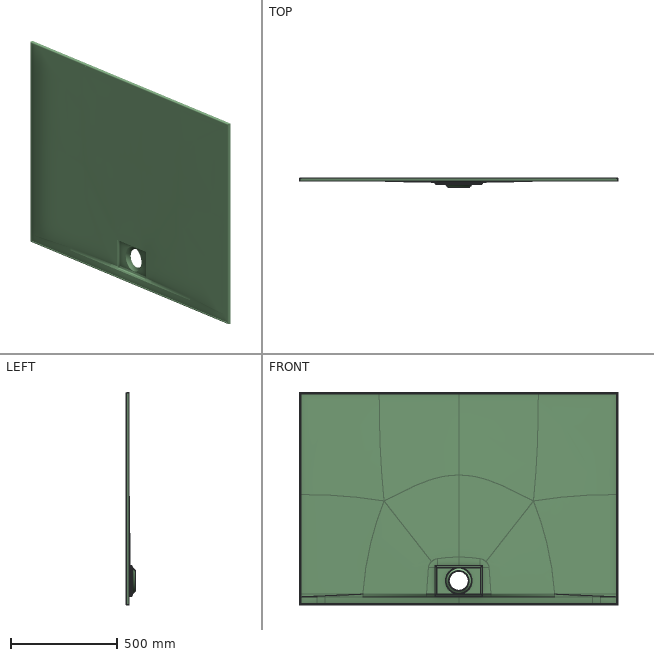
import cadquery as cq


WIDTH = 1500.0
HEIGHT = 1000.0
RIM_DEPTH = 15.0
RIM_WIDTH = 7.0
RIM_EDGE_RADIUS = 6.0
WALL = 4.0
CUT_MARGIN = 1.0

LEFT = -WIDTH / 2 + RIM_WIDTH
BOTTOM = RIM_WIDTH
TOP = HEIGHT - RIM_WIDTH

EDGE_DEPTH = 8.0
FACET_FOOT = 51.0
TOP_FOLD = (-375.0, EDGE_DEPTH, TOP)
TOP_FOLD_BOW = (-371.0, 11.0, 760.0)
SIDE_FOLD = (LEFT, EDGE_DEPTH, 520.0)
SIDE_FOLD_BOW = (-540.0, 11.0, 513.0)
FOOT_FOLD = (-452.0, 12.5, FACET_FOOT)
FOOT_FOLD_BOW = (-420.0, 13.3, 270.0)
KNOT = (-352.0, 14.6, 490.0)
CROWN_BOW = (-140.0, 14.6, 588.0)
CROWN = (0.0, 14.6, 612.0)
KNOT_TANGENT = cq.Vector(2, 0, 1)
CROWN_TANGENT = cq.Vector(1, 0, 0)

STRIP_TOP = 38.5
STRIP_TOP_DEPTH = 11.0
STRIP_BLEND_DEPTH = 10.5
STRIP_BLEND_START = -667.0
STRIP_BLEND_END = -630.0

PAD_HALF_WIDTH = 111.0
PAD_BOTTOM = 41.0
PAD_TOP = 186.0
PAD_BASE_DEPTH = 20.5
PAD_SHOULDER_DEPTH = 26.5
PAD_DEPTH = 31.5
PAD_SIDE_BEVEL = 5.0
PAD_BOTTOM_BEVEL = 7.0
PAD_TOP_BEVEL = 8.0

APRON_DEPTH = 19.8
APRON_FOOT = (-152.0, APRON_DEPTH, FACET_FOOT)
APRON_SIDE = (-143.0, APRON_DEPTH, 177.0)
APRON_LOW_BOW = (-138.0, APRON_DEPTH, 192.0)
APRON_CORNER = (-128.0, APRON_DEPTH, 204.0)
APRON_HIGH_BOW = (-116.0, APRON_DEPTH, 213.0)
APRON_SHOULDER = (-101.0, APRON_DEPTH, 218.0)
APRON_TOP_BOW = (-50.0, APRON_DEPTH, 224.0)
APRON_CROWN = (0.0, APRON_DEPTH, 226.0)

OUTLET_Z = 114.0
OUTLET_DEPTH = 46.0
OUTLET_BASE_RADIUS = 62.5
OUTLET_END_RADIUS = 48.0
DRAIN_BASE_RADIUS = 59.5
DRAIN_END_RADIUS = 45.0


def skin_tools(lift):
    """Edge makers for a skin raised by `lift` towards the rim plane."""

    def at(point):
        x, depth, z = point
        return cq.Vector(x, lift - depth, z)

    def line(start, end):
        return cq.Edge.makeLine(at(start), at(end))

    def bow(*points, tangents=None):
        return cq.Edge.makeSpline([at(p) for p in points], tangents=tangents)

    return line, bow


def fill(*edges):
    """Smooth patch bounded by a loop of edges."""
    return cq.Face.makeNSidedSurface(list(edges), [])


def half_panel(lift, base_depth):
    """Faces of the left half of a panel: the faceted skin, its side walls and its base plane."""
    line, bow = skin_tools(lift)

    def loop(*points):
        return [line(points[i - 1], points[i]) for i in range(len(points))]

    def flat(*points):
        return cq.Face.makeFromWires(cq.Wire.assembleEdges(loop(*points)))

    corner_top = (LEFT, EDGE_DEPTH, TOP)
    corner_foot = (LEFT, EDGE_DEPTH, FACET_FOOT)
    top_middle = (0, EDGE_DEPTH, TOP)
    pad_foot = (-PAD_HALF_WIDTH, PAD_BASE_DEPTH, FACET_FOOT)
    pad_side = (-PAD_HALF_WIDTH, PAD_BASE_DEPTH, APRON_SIDE[2])
    pad_corner = (-PAD_HALF_WIDTH, PAD_BASE_DEPTH, PAD_TOP)
    pad_shoulder = (APRON_SHOULDER[0], PAD_BASE_DEPTH, PAD_TOP)
    pad_crown = (0, PAD_BASE_DEPTH, PAD_TOP)
    foot_middle = (0, PAD_BASE_DEPTH, FACET_FOOT)

    side_curve = bow(SIDE_FOLD, SIDE_FOLD_BOW, KNOT)
    top_curve = bow(TOP_FOLD, TOP_FOLD_BOW, KNOT)
    foot_curve = bow(FOOT_FOLD, FOOT_FOLD_BOW, KNOT)
    crown_curve = bow(KNOT, CROWN_BOW, CROWN, tangents=[KNOT_TANGENT, CROWN_TANGENT])
    diagonal = line(KNOT, APRON_CORNER)
    apron_side = line(APRON_FOOT, APRON_SIDE)
    apron_low_round = bow(APRON_SIDE, APRON_LOW_BOW, APRON_CORNER)
    apron_high_round = bow(APRON_CORNER, APRON_HIGH_BOW, APRON_SHOULDER)
    apron_top = bow(APRON_SHOULDER, APRON_TOP_BOW, APRON_CROWN)
    apron_joint_low = line(APRON_SIDE, pad_side)
    apron_joint_high = line(APRON_SHOULDER, pad_shoulder)
    faces = [
        fill(line(corner_top, SIDE_FOLD), side_curve, top_curve, line(TOP_FOLD, corner_top)),
        fill(top_curve, crown_curve, line(CROWN, top_middle), line(top_middle, TOP_FOLD)),
        fill(side_curve, foot_curve, line(FOOT_FOLD, corner_foot), line(corner_foot, SIDE_FOLD)),
        fill(foot_curve, diagonal, apron_low_round, apron_side, line(APRON_FOOT, FOOT_FOLD)),
        fill(crown_curve, diagonal, apron_high_round, apron_top, line(APRON_CROWN, CROWN)),
    ]

    faces += [
        fill(*loop(APRON_FOOT, APRON_SIDE, pad_side, pad_foot)),
        fill(
            apron_low_round,
            apron_high_round,
            apron_joint_high,
            line(pad_shoulder, pad_corner),
            line(pad_corner, pad_side),
            apron_joint_low,
        ),
        fill(apron_top, line(APRON_CROWN, pad_crown), line(pad_crown, pad_shoulder), apron_joint_high),
        flat(pad_foot, pad_side, pad_corner, pad_shoulder, pad_crown, foot_middle),
    ]

    strip_low = [(x, EDGE_DEPTH, BOTTOM) for x in (LEFT, STRIP_BLEND_START, STRIP_BLEND_END)]
    strip_low_middle = (0, EDGE_DEPTH, BOTTOM)
    strip_high = [
        (LEFT, EDGE_DEPTH, STRIP_TOP),
        (STRIP_BLEND_START, STRIP_BLEND_DEPTH, STRIP_TOP),
        (STRIP_BLEND_END, STRIP_TOP_DEPTH, STRIP_TOP),
    ]
    step_high = [FOOT_FOLD, APRON_FOOT, pad_foot, foot_middle]
    step_low = [(x, STRIP_TOP_DEPTH, STRIP_TOP) for x, _, _ in step_high]
    strip_pairs = list(zip(strip_low, strip_high))
    step_pairs = list(zip(step_low, step_high))
    for pairs in (strip_pairs, step_pairs):
        for (low_a, high_a), (low_b, high_b) in zip(pairs, pairs[1:]):
            faces.append(cq.Face.makeRuledSurface(line(low_a, low_b), line(high_a, high_b)))
    faces.append(flat(strip_low[-1], strip_low_middle, *reversed(step_low), strip_high[-1]))
    step_fan = [corner_foot, *strip_high, step_low[0]]
    for start, end in zip(step_fan, step_fan[1:]):
        faces.append(flat(FOOT_FOLD, start, end))

    base_low = (LEFT, base_depth + lift, BOTTOM)
    base_high = (LEFT, base_depth + lift, TOP)
    base_low_middle = (0, base_depth + lift, BOTTOM)
    base_high_middle = (0, base_depth + lift, TOP)
    faces += [
        flat(base_low, *strip_low, strip_low_middle, base_low_middle),
        flat(base_low, strip_low[0], strip_high[0], corner_foot, SIDE_FOLD, corner_top, base_high),
        flat(base_high, corner_top, TOP_FOLD, top_middle, base_high_middle),
        flat(base_low, base_high, base_high_middle, base_low_middle),
    ]
    return faces


def panel(lift, base_depth):
    """Solid between the base plane and the faceted skin."""
    left = half_panel(lift, base_depth)
    right = [face.mirror("YZ") for face in left]
    return cq.Workplane(obj=cq.Solid.makeSolid(cq.Shell.makeShell(left + right)))


def rim():
    """Frame around the tray, rounded along its outer edges on the bathing side."""
    block = (
        cq.Workplane("XZ")
        .center(0, HEIGHT / 2)
        .rect(WIDTH, HEIGHT)
        .extrude(RIM_DEPTH)
        .faces(">Y")
        .edges()
        .fillet(RIM_EDGE_RADIUS)
    )
    opening = (
        cq.Workplane("XZ")
        .center(0, HEIGHT / 2)
        .rect(WIDTH - 2 * RIM_WIDTH, HEIGHT - 2 * RIM_WIDTH)
        .extrude(RIM_DEPTH)
    )
    return block.cut(opening)


def pad(inset, start_depth):
    """Drain pad with bevelled edges; `inset` moves every side and the floor inwards."""
    half_width = PAD_HALF_WIDTH - inset
    low = PAD_BOTTOM + inset
    high = PAD_TOP - inset
    shoulder_depth = PAD_SHOULDER_DEPTH - inset
    top_low = low + PAD_BOTTOM_BEVEL
    top_high = high - PAD_TOP_BEVEL
    base = (
        cq.Workplane("XZ", origin=(0, -start_depth, (low + high) / 2))
        .rect(2 * half_width, high - low)
        .extrude(shoulder_depth - start_depth)
    )
    bevel = (
        cq.Workplane("XZ", origin=(0, -shoulder_depth, (low + high) / 2))
        .rect(2 * half_width, high - low)
        .workplane(offset=PAD_DEPTH - PAD_SHOULDER_DEPTH)
        .center(0, (top_low + top_high - low - high) / 2)
        .rect(2 * (half_width - PAD_SIDE_BEVEL), top_high - top_low)
        .loft()
    )
    return base.union(bevel)


def cone(start_depth, start_radius, end_radius):
    """Cone on the drain axis, ending at the outlet's end."""
    return (
        cq.Workplane("XZ", origin=(0, -start_depth, OUTLET_Z))
        .circle(start_radius)
        .workplane(offset=OUTLET_DEPTH - start_depth)
        .circle(end_radius)
        .loft()
    )


tray = rim().union(panel(0, 0), clean=False)
tray = tray.union(pad(0, EDGE_DEPTH), clean=False)
tray = tray.union(cone(PAD_DEPTH, OUTLET_BASE_RADIUS, OUTLET_END_RADIUS), clean=False)
tray = tray.cut(panel(WALL, -CUT_MARGIN), clean=False)
tray = tray.cut(pad(WALL, 0), clean=False)
tray = tray.cut(cone(PAD_DEPTH - WALL, DRAIN_BASE_RADIUS, DRAIN_END_RADIUS), clean=False)
result = tray.solids()